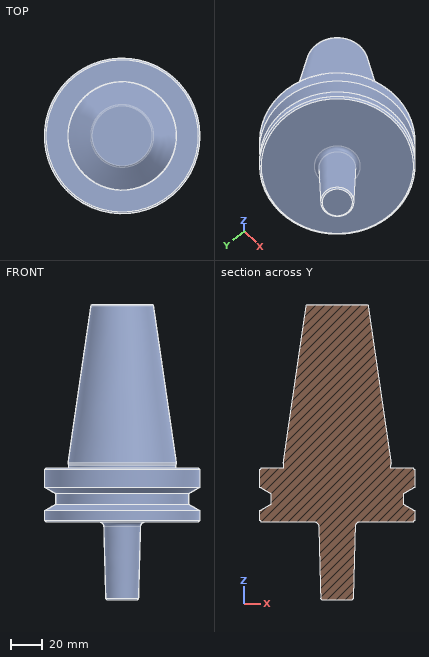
import cadquery as cq
import math

total_length = 189.8
taper_length = 101.7
neck_height = 3.0
flange_height = 35.0
flange_bottom = total_length - taper_length - neck_height - flange_height
flange_top = flange_bottom + flange_height
gauge_plane = flange_top + neck_height

taper_ratio = 7 / 24
gauge_radius = 35.0
taper_top_radius = gauge_radius - taper_length * taper_ratio / 2
taper_top_fillet = 1.0

neck_radius = 34.5
gauge_band = 1.1

flange_diameter = 100.0
flange_radius = flange_diameter / 2
flange_chamfer = 1.1
groove_radius = 42.9
groove_flank_angle = 30.0
groove_flank_height = (flange_radius - groove_radius) * math.tan(math.radians(groove_flank_angle))
groove_floor_height = 6.8
groove_top = flange_top - 12.5
groove_floor_top = groove_top - groove_flank_height
groove_floor_bottom = groove_floor_top - groove_floor_height
groove_bottom = groove_floor_bottom - groove_flank_height

stub_root_radius = 11.86
stub_tip_radius = 10.6
stub_root_fillet = 2.8
stub_tip_chamfer = 1.0
stub_fillet_bottom = flange_bottom - stub_root_fillet
fillet_arc_offset = stub_root_fillet * (1 - math.sqrt(0.5))

profile = (
    cq.Workplane("XZ")
    .moveTo(0, 0)
    .lineTo(stub_tip_radius - stub_tip_chamfer, 0)
    .lineTo(stub_tip_radius, stub_tip_chamfer)
    .lineTo(stub_root_radius, stub_fillet_bottom)
    .threePointArc(
        (stub_root_radius + fillet_arc_offset, flange_bottom - fillet_arc_offset),
        (stub_root_radius + stub_root_fillet, flange_bottom),
    )
    .lineTo(flange_radius - flange_chamfer, flange_bottom)
    .lineTo(flange_radius, flange_bottom + flange_chamfer)
    .lineTo(flange_radius, groove_bottom)
    .lineTo(groove_radius, groove_floor_bottom)
    .lineTo(groove_radius, groove_floor_top)
    .lineTo(flange_radius, groove_top)
    .lineTo(flange_radius, flange_top - flange_chamfer)
    .lineTo(flange_radius - flange_chamfer, flange_top)
    .lineTo(neck_radius, flange_top)
    .lineTo(neck_radius, gauge_plane - gauge_band)
    .lineTo(gauge_radius, gauge_plane)
    .lineTo(taper_top_radius, total_length)
    .lineTo(0, total_length)
    .close()
)

holder = profile.revolve(360, (0, 0, 0), (0, 1, 0))
result = holder.faces(">Z").edges().fillet(taper_top_fillet)